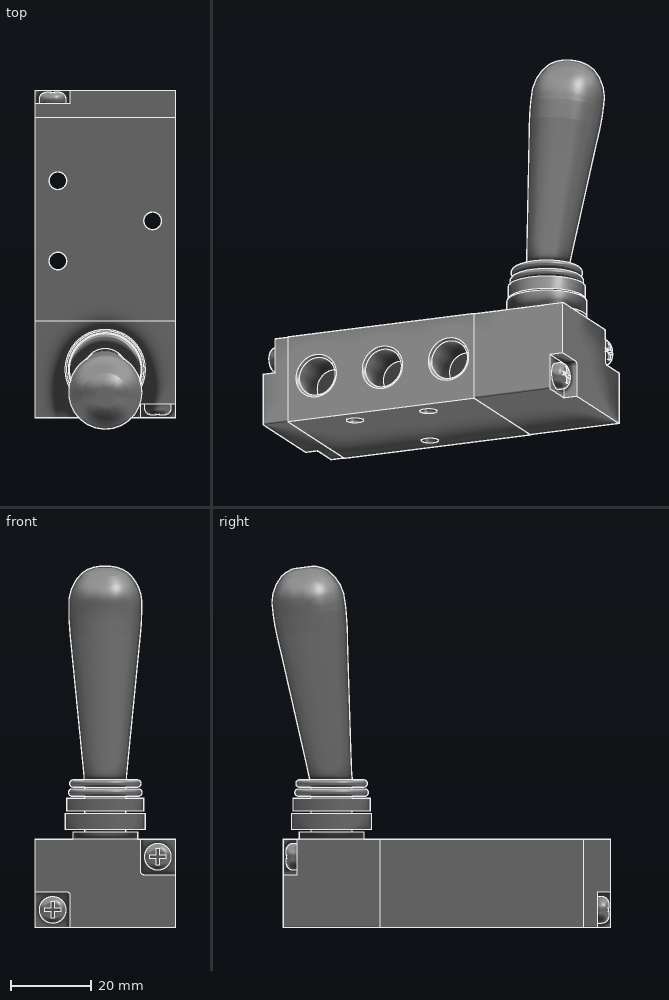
import cadquery as cq
import math

width = 35.0
height = 22.0
length = 81.5
overall_height = 89.9
lever_cap_length = 24.1
end_cap_length = 6.75
edge_round = 0.4

port_middle_y = 49.0
port_radius = 4.9
port_floor_radius = 4.5
port_chamfer = 0.6
port_depth = 10.8
port_pitch = 18.0

mount_radius = 2.2
mount_offset = 11.8
mount_pitch = 20.0

notch_width = 8.7
notch_height = 8.9
lever_cap_notch_depth = 3.5
end_cap_notch_depth = 3.2
notch_round = 0.9
screw_inset = 4.4
screw_radius = 3.3
screw_height = 2.8
screw_round = 1.8
recess_length = 4.1
recess_width = 0.9
recess_depth = 1.1

boot_y = 12.05
core_radius = 5.1
flange_radius, flange_top = 8.1, 23.8
lower_disc_radius, lower_disc_bottom, lower_disc_top = 10.0, 24.4, 28.4
upper_disc_radius, upper_disc_bottom, upper_disc_top = 9.6, 29.0, 32.2
bead_thickness = 1.9
lower_bead_radius, lower_bead_bottom = 9.2, 32.65
upper_bead_radius, upper_bead_bottom = 8.9, 34.9
boot_top = upper_bead_bottom + bead_thickness

lever_tilt = 7.3
stem_radius = 5.3
stem_top = 1.8
taper_radius, taper_top = 8.8, 37.8
grip_radius, grip_bottom, grip_top = 9.1, 42.5, 44.1
dome_mid_radius, dome_mid_height = 8.2, 49.5
crown_radius, crown_height = 5.85, 52.7
crown_mid_radius, crown_mid_height = 4.2, 53.7
tip_radius, tip_height = 2.4, 54.2

tilt_angle = math.radians(lever_tilt)
pivot_z = overall_height - tip_height * math.cos(tilt_angle) - tip_radius * math.sin(tilt_angle)


def box_between(x_min, x_max, y_min, y_max, z_min, z_max):
    size = (x_max - x_min, y_max - y_min, z_max - z_min)
    return cq.Workplane("XY").box(*size, centered=False).translate((x_min, y_min, z_min))


def disc(radius, bottom, top):
    return cq.Workplane("XY", origin=(0, boot_y, bottom)).circle(radius).extrude(top - bottom)


def make_port():
    """Solid to cut for one port: a tapered bore with a chamfered mouth, on Y = 0."""
    profile = (
        cq.Workplane("XY")
        .lineTo(0, port_radius + port_chamfer)
        .lineTo(port_chamfer, port_radius)
        .lineTo(port_depth, port_floor_radius)
        .lineTo(port_depth, 0)
        .close()
    )
    port = profile.revolve(360, (0, 0), (1, 0))
    return port.translate((-width / 2, 0, height / 2))


def make_block():
    block = box_between(-width / 2, width / 2, lever_cap_length, length - end_cap_length, 0, height)
    for step in (-1, 0, 1):
        block = block.cut(make_port().translate((0, port_middle_y + step * port_pitch, 0)))

    mount_points = [
        (-mount_offset, port_middle_y - mount_pitch / 2),
        (-mount_offset, port_middle_y + mount_pitch / 2),
        (mount_offset, port_middle_y),
    ]
    mounts = cq.Workplane("XY").pushPoints(mount_points).circle(mount_radius).extrude(height)
    return block.cut(mounts)


def make_screw_head():
    """Pan head with a cross recess, seated on Y = 0 and facing -Y."""
    head = cq.Workplane("XZ").circle(screw_radius).extrude(screw_height)
    head = head.faces("<Y").edges().fillet(screw_round)
    floor = cq.Workplane("XZ", origin=(0, -(screw_height - recess_depth), 0))
    recess = floor.rect(recess_length, recess_width).extrude(recess_depth)
    recess = recess.union(floor.rect(recess_width, recess_length).extrude(recess_depth))
    return head.cut(recess)


def make_cap(cap_length, notch_depth):
    """End cap with its outer face on Y = 0, notched at two opposite corners for its screws."""
    cap = box_between(-width / 2, width / 2, 0, cap_length, 0, height)
    cap = cap.edges("|Y").fillet(edge_round)
    upper_notch = box_between(
        width / 2 - notch_width, width / 2, 0, notch_depth, height - notch_height, height
    )
    upper_notch = upper_notch.edges("|Y and <X and <Z").fillet(notch_round)
    upper_screw = make_screw_head().translate(
        (width / 2 - screw_inset, notch_depth, height - screw_inset)
    )
    middle_axis = ((0, 0, height / 2), (0, 1, height / 2))
    for turn in (0, 180):
        cap = cap.cut(upper_notch.rotate(*middle_axis, turn))
        cap = cap.union(upper_screw.rotate(*middle_axis, turn))
    return cap


def make_bead(radius, bottom):
    """Disc with a fully rounded rim."""
    half = bead_thickness / 2
    profile = (
        cq.Workplane("XZ")
        .lineTo(radius - half, 0)
        .threePointArc((radius, half), (radius - half, bead_thickness))
        .lineTo(0, bead_thickness)
        .close()
    )
    return profile.revolve(360, (0, 0), (0, 1)).translate((0, boot_y, bottom))


def make_boot():
    boot = disc(core_radius, height, boot_top)
    boot = boot.union(disc(flange_radius, height, flange_top))
    boot = boot.union(disc(lower_disc_radius, lower_disc_bottom, lower_disc_top))
    boot = boot.union(disc(upper_disc_radius, upper_disc_bottom, upper_disc_top))
    boot = boot.union(make_bead(lower_bead_radius, lower_bead_bottom))
    return boot.union(make_bead(upper_bead_radius, upper_bead_bottom))


def make_handle():
    profile = (
        cq.Workplane("XZ")
        .lineTo(stem_radius, 0)
        .lineTo(stem_radius, stem_top)
        .lineTo(taper_radius, taper_top)
        .tangentArcPoint((grip_radius, grip_bottom), relative=False)
        .lineTo(grip_radius, grip_top)
        .threePointArc((dome_mid_radius, dome_mid_height), (crown_radius, crown_height))
        .threePointArc((crown_mid_radius, crown_mid_height), (tip_radius, tip_height))
        .lineTo(0, tip_height)
        .close()
    )
    handle = profile.revolve(360, (0, 0), (0, 1))
    return handle.rotate((0, 0, 0), (1, 0, 0), lever_tilt).translate((0, boot_y, pivot_z))


block = make_block()
lever_cap = make_cap(lever_cap_length, lever_cap_notch_depth)
end_cap = make_cap(end_cap_length, end_cap_notch_depth)
end_cap = end_cap.rotate((0, 0, 0), (0, 0, 1), 180).translate((0, length, 0))
lever = make_boot().union(make_handle())

result = cq.Compound.makeCompound([block.val(), lever_cap.val(), end_cap.val(), lever.val()])